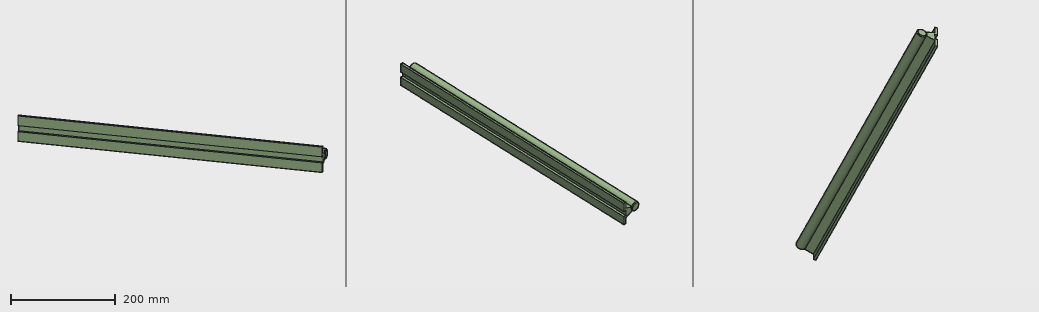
import cadquery as cq
import math

length = 600.0
overall_depth = 42.0
flange_height = 52.0

shaft_diameter = 20.5
shaft_radius = shaft_diameter / 2
shaft_chamfer = 2.0
shaft_y = overall_depth - shaft_radius

flange_thickness = 5.5
slot_height = 12.5
web_root_height = 23.5
seat_height = 9.5

seat_edge_y = shaft_y - math.sqrt(shaft_radius**2 - (seat_height / 2) ** 2)
seat_bottom_y = shaft_y - shaft_radius


def make_shaft():
    """Full-length shaft with both end rims chamfered."""
    return (
        cq.Workplane("YZ")
        .center(shaft_y, 0)
        .circle(shaft_radius)
        .extrude(length)
        .faces("<X or >X")
        .chamfer(shaft_chamfer)
    )


def make_rail():
    """Full-length rail, slotted between its flanges and symmetric about Z = 0."""
    flange_edge = flange_height / 2
    web_root_edge = web_root_height / 2
    seat_edge = seat_height / 2
    slot_edge = slot_height / 2
    return (
        cq.Workplane("YZ")
        .moveTo(0, flange_edge)
        .lineTo(flange_thickness, flange_edge)
        .lineTo(flange_thickness, web_root_edge)
        .lineTo(seat_edge_y, seat_edge)
        .threePointArc((seat_bottom_y, 0), (seat_edge_y, -seat_edge))
        .lineTo(flange_thickness, -web_root_edge)
        .lineTo(flange_thickness, -flange_edge)
        .lineTo(0, -flange_edge)
        .lineTo(0, -slot_edge)
        .lineTo(flange_thickness, -slot_edge)
        .lineTo(flange_thickness, slot_edge)
        .lineTo(0, slot_edge)
        .close()
        .extrude(length)
    )


shaft = make_shaft()
rail = make_rail()
result = cq.Compound.makeCompound([shaft.val(), rail.val()])